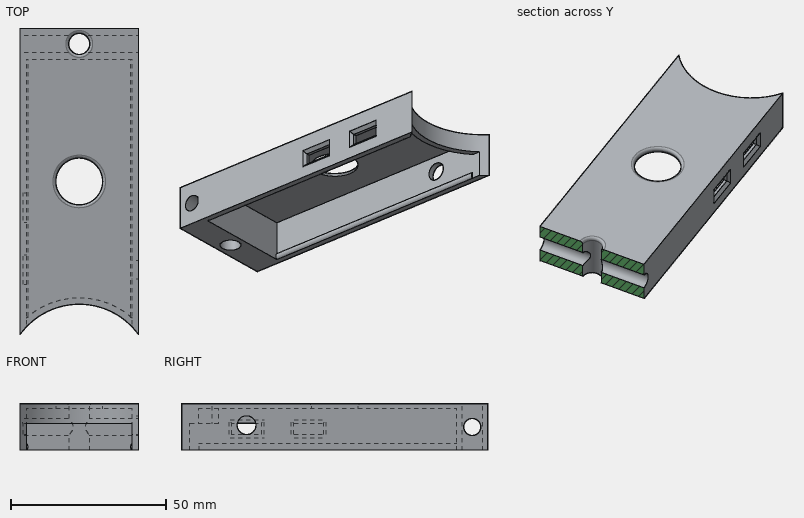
import cadquery as cq
import math

WIDTH = 38.2
LENGTH = 98.6
HEIGHT = 15.0
NOTCH_DEPTH = 9.8

WALL = 2.1
ROOF = 1.5
CAVITY_HEIGHT = HEIGHT - ROOF
OPENING_HEIGHT = 8.7
BACK_BLOCK = 10.1

RIDGE_HEIGHT = 2.2
RIDGE_DEPTH = 0.5
RIDGE_FRONT_GAP = 5.5

HOLE_EDGE_RADIUS = 1.0

BACK_HOLE_INSET = BACK_BLOCK / 2
BACK_HOLE_DIAMETER = 6.7
CROSS_HOLE_DIAMETER = 5.4

CENTRE_HOLE_DIAMETER = 15.0
CENTRE_HOLE_INSET = LENGTH / 2

WINDOW_INSET = 57.8
WINDOW_PITCH = 19.9
WINDOW_LENGTH = 11.2
WINDOW_HEIGHT = 5.9
WINDOW_INNER_LENGTH = 9.6
WINDOW_INNER_HEIGHT = 3.6
WINDOW_Z = OPENING_HEIGHT - WINDOW_INNER_HEIGHT / 2
WINDOW_TAPER_DEPTH = 1.0

PORT_DIAMETER = 6.0
PORT_Z = 8.1
FRONT_WINDOW_INSET = WINDOW_INSET + WINDOW_PITCH

HALF_WIDTH = WIDTH / 2
INNER_HALF = HALF_WIDTH - WALL
NOTCH_RADIUS = (HALF_WIDTH**2 + NOTCH_DEPTH**2) / (2 * NOTCH_DEPTH)
NOTCH_CENTRE_Y = NOTCH_DEPTH - LENGTH - NOTCH_RADIUS


def make_body():
    """Solid bar whose front end is hollowed by an arc from corner to corner."""
    return (
        cq.Workplane("XY")
        .moveTo(-HALF_WIDTH, 0)
        .lineTo(-HALF_WIDTH, -LENGTH)
        .threePointArc((0, NOTCH_DEPTH - LENGTH), (HALF_WIDTH, -LENGTH))
        .lineTo(HALF_WIDTH, 0)
        .close()
        .extrude(HEIGHT)
    )


def make_front_block(height):
    """Box of the inner width from the back block out past the front end."""
    return cq.Workplane("XY").box(
        2 * INNER_HALF, LENGTH, height, centered=(True, False, False)
    ).translate((0, -BACK_BLOCK - LENGTH, 0))


def make_cavity():
    """Tall chamber behind the curved front wall, joined to the lower opening."""
    front_wall = (
        cq.Workplane("XY")
        .center(0, NOTCH_CENTRE_Y)
        .circle(NOTCH_RADIUS + WALL)
        .extrude(HEIGHT)
    )
    chamber = make_front_block(CAVITY_HEIGHT).cut(front_wall)
    return chamber.union(make_front_block(OPENING_HEIGHT))


def make_ridge(side):
    """Rounded ridge on the inner wall; side is -1 for -X and +1 for +X."""
    root = side * INNER_HALF
    length = LENGTH - BACK_BLOCK - RIDGE_FRONT_GAP
    return (
        cq.Workplane("XZ", origin=(0, -BACK_BLOCK, 0))
        .moveTo(root, 0)
        .threePointArc((root - side * RIDGE_DEPTH, RIDGE_HEIGHT / 2), (root, RIDGE_HEIGHT))
        .close()
        .extrude(length)
    )


def make_rounded_hole(inset, diameter):
    """Vertical through hole whose top edge is rounded over."""
    radius = diameter / 2
    arc_middle = HOLE_EDGE_RADIUS * (1 - math.sqrt(0.5))
    return (
        cq.Workplane("XZ", origin=(0, -inset, 0))
        .lineTo(radius, 0)
        .lineTo(radius, HEIGHT - HOLE_EDGE_RADIUS)
        .threePointArc((radius + arc_middle, HEIGHT - arc_middle), (radius + HOLE_EDGE_RADIUS, HEIGHT))
        .lineTo(0, HEIGHT)
        .close()
        .revolve(360, (0, 0, 0), (0, 1, 0))
    )


def make_window(inset):
    """Rectangular opening in the -X wall, tapering inward then straight."""
    plane = cq.Workplane("YZ", origin=(-HALF_WIDTH, -inset, WINDOW_Z))
    taper = (
        plane.rect(WINDOW_LENGTH, WINDOW_HEIGHT)
        .workplane(offset=WINDOW_TAPER_DEPTH)
        .rect(WINDOW_INNER_LENGTH, WINDOW_INNER_HEIGHT)
        .loft(ruled=True)
    )
    throat = plane.rect(WINDOW_INNER_LENGTH, WINDOW_INNER_HEIGHT).extrude(WALL)
    return taper.union(throat)


def make_cross_hole():
    """Hole along X through the whole back block."""
    return (
        cq.Workplane("YZ", origin=(-HALF_WIDTH, -BACK_HOLE_INSET, HEIGHT / 2))
        .circle(CROSS_HOLE_DIAMETER / 2)
        .extrude(WIDTH)
    )


def make_port():
    """Round hole through the +X wall only."""
    return (
        cq.Workplane("YZ", origin=(INNER_HALF, -FRONT_WINDOW_INSET, PORT_Z))
        .circle(PORT_DIAMETER / 2)
        .extrude(WALL)
    )


result = make_body().cut(make_cavity())
for wall_side in (-1, 1):
    result = result.union(make_ridge(wall_side))
result = result.cut(make_rounded_hole(BACK_HOLE_INSET, BACK_HOLE_DIAMETER))
result = result.cut(make_rounded_hole(CENTRE_HOLE_INSET, CENTRE_HOLE_DIAMETER))
result = result.cut(make_cross_hole())
for window_inset in (WINDOW_INSET, FRONT_WINDOW_INSET):
    result = result.cut(make_window(window_inset))
result = result.cut(make_port())